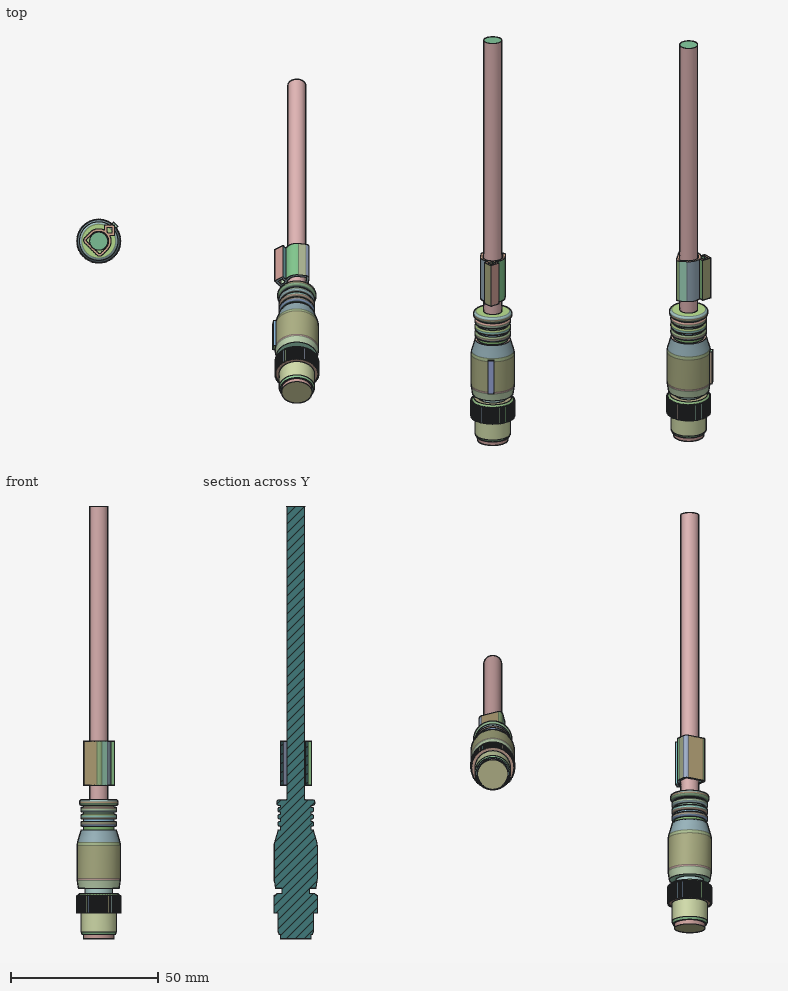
import math

import cadquery as cq

total_length = 147.0
cable_radius = 3.08

nose_radius = 6.05
nose_step_radius = 5.65
nose_tip_radius = 5.2
nose_step_z = 1.5
nose_shoulder_z = 2.4

nut_radius = 7.49
nut_bottom_z = 8.8
nut_top_z = 15.5
nut_chamfer_height = 0.9
nut_chamfer_width = 1.1
knurl_teeth = 88
knurl_depth = 0.35

neck_radius = 4.75

grip_radius = 7.4
grip_bottom_z = 17.2
grip_bottom_radius = 6.95
grip_straight_start_z = 20.2
grip_straight_end_z = 32.3
grip_top_z = 37.1
grip_top_radius = 6.0
grip_blend_radius = 4.0

relief_core_radius = 5.2
rib_radius = 6.1
rib_height = 1.7
rib_count = 3
rib_pitch = 2.42
first_rib_center_z = 39.1
rib_round = 0.55
collar_bottom_z = 45.3
collar_top_z = 47.35
collar_radius = 6.55
collar_round = 0.8

key_width = 2.0
key_reach = 8.15
key_angle = 45

marker_bottom_z = 52.2
marker_length = 15.0
marker_wall = 0.85
sleeve_radius = 4.2
sleeve_flat_distance = 3.8
sleeve_corner_radius = 1.27
marker_angle = 45
pocket_start = 1.9
pocket_end = 5.4


def disc(radius, bottom_z, top_z):
    return cq.Workplane("XY").workplane(offset=bottom_z).circle(radius).extrude(top_z - bottom_z)


def make_nose():
    profile = [
        (0, 0),
        (nose_tip_radius, 0),
        (nose_tip_radius, nose_step_z),
        (nose_step_radius, nose_step_z),
        (nose_radius, nose_shoulder_z),
        (nose_radius, nut_bottom_z),
        (0, nut_bottom_z),
    ]
    return cq.Workplane("XZ").polyline(profile).close().revolve(360, (0, 0), (0, 1))


def make_nut():
    points = []
    for step in range(2 * knurl_teeth):
        radius = nut_radius - knurl_depth * (step % 2)
        angle = math.pi * step / knurl_teeth
        points.append((radius * math.cos(angle), radius * math.sin(angle)))
    height = nut_top_z - nut_bottom_z
    knurl = cq.Workplane("XY").workplane(offset=nut_bottom_z).polyline(points).close().extrude(height)
    profile = [
        (0, nut_bottom_z),
        (nut_radius, nut_bottom_z),
        (nut_radius, nut_top_z - nut_chamfer_height),
        (nut_radius - nut_chamfer_width, nut_top_z),
        (0, nut_top_z),
    ]
    envelope = cq.Workplane("XZ").polyline(profile).close().revolve(360, (0, 0), (0, 1))
    return knurl.intersect(envelope)


def make_grip():
    profile = [
        (0, grip_bottom_z),
        (grip_bottom_radius, grip_bottom_z),
        (grip_radius, grip_straight_start_z),
        (grip_radius, grip_straight_end_z),
        (grip_top_radius, grip_top_z),
        (0, grip_top_z),
    ]
    grip = cq.Workplane("XZ").polyline(profile).close().revolve(360, (0, 0), (0, 1))
    return grip.edges(cq.selectors.RadiusNthSelector(-1)).fillet(grip_blend_radius)


def make_key():
    height = grip_straight_end_z - grip_straight_start_z
    key = cq.Workplane("XY").box(key_reach, key_width, height, centered=(False, True, False))
    return key.translate((0, 0, grip_straight_start_z)).rotate((0, 0, 0), (0, 0, 1), key_angle)


def make_strain_relief():
    relief = disc(relief_core_radius, grip_top_z, collar_top_z)
    for index in range(rib_count):
        center_z = first_rib_center_z + index * rib_pitch
        rib = disc(rib_radius, center_z - rib_height / 2, center_z + rib_height / 2)
        relief = relief.union(rib.edges().fillet(rib_round))
    collar = disc(collar_radius, collar_bottom_z, collar_top_z).edges().fillet(collar_round)
    return relief.union(collar)


def sleeve_prism(radius, flat_distance, corner_radius):
    """U-shaped prism: flat toward -X -Y, half round toward +X +Y."""
    return (
        cq.Workplane("XY")
        .moveTo(0, radius)
        .lineTo(-flat_distance, radius)
        .lineTo(-flat_distance, -radius)
        .lineTo(0, -radius)
        .threePointArc((radius, 0), (0, radius))
        .close()
        .extrude(marker_length)
        .edges("|Z and <X")
        .fillet(corner_radius)
        .rotate((0, 0, 0), (0, 0, 1), marker_angle)
    )


def square_prism(start, end):
    side = end - start
    return cq.Workplane("XY").box(side, side, marker_length, centered=False).translate((start, start, 0))


def make_marker():
    sleeve = sleeve_prism(sleeve_radius, sleeve_flat_distance, sleeve_corner_radius)
    bore = sleeve_prism(
        sleeve_radius - marker_wall,
        sleeve_flat_distance - marker_wall,
        sleeve_corner_radius - marker_wall,
    )
    label_frame = square_prism(pocket_start, pocket_end)
    label_pocket = square_prism(pocket_start + marker_wall, pocket_end - marker_wall)
    marker = label_frame.cut(label_pocket).union(sleeve).cut(bore)
    return marker.translate((0, 0, marker_bottom_z))


result = (
    make_nose()
    .union(make_nut())
    .union(disc(neck_radius, nut_top_z, grip_bottom_z))
    .union(make_grip())
    .union(make_key())
    .union(make_strain_relief())
    .union(disc(cable_radius, collar_top_z, total_length))
    .union(make_marker())
)